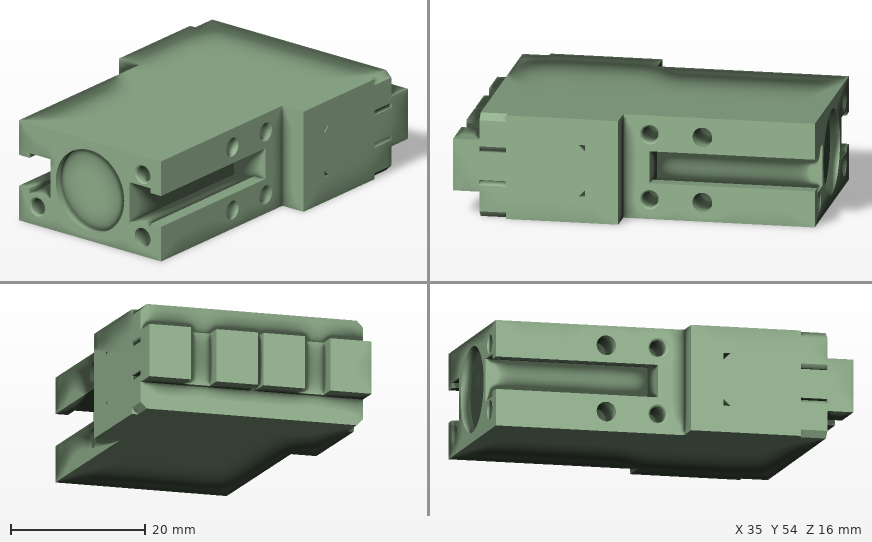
import cadquery as cq
import math

total_length = 54.0
head_width = 35.0
height = 16.0
body_width = 27.0
body_length = 29.0
head_end = 45.95
rail_end = 50.0
rail_chamfer = 0.95

channel_start = 34.0
channel_height = 8.0

slot_length = 25.0
slot_mouth_height = 4.9
slot_mouth_depth = 2.0
slot_inner_height = 6.4
slot_depth = 6.0

recess_diameter = 13.0
recess_depth = 1.5

hole_height = 5.0
end_hole_offset = 10.0
side_screw_y = 25.0
side_pin_y = 17.0
screw_diameter = 2.5
countersink_diameter = 2.95
pin_diameter = 2.95
hole_depth = 6.0
drill_tip_angle = 118
countersink_angle = 90

jaw_gap = 0.85
jaw_chamfer = 1.0
jaw_neck_height = 4.4
finger_slot_width = 4.0
finger_slot_depth = 3.1
finger_slot_offset = 8.95

rail_clearance = 0.2
rail_gap = jaw_neck_height + 2 * rail_clearance
rail_inner_chamfer = 0.6


def box_between(x_min, x_max, y_min, y_max, box_height):
    """Box with the given X and Y limits, centred on Z = 0."""
    box = cq.Workplane("XY").box(x_max - x_min, y_max - y_min, box_height)
    return box.translate(((x_min + x_max) / 2, (y_min + y_max) / 2, 0))


def drill_tool(diameter):
    """Cutter along +Z from the origin, with a conical tip."""
    drill = cq.Solid.makeCylinder(diameter / 2, hole_depth)
    tip_length = diameter / 2 / math.tan(math.radians(drill_tip_angle / 2))
    tip = cq.Solid.makeCone(diameter / 2, 0, tip_length, pnt=(0, 0, hole_depth))
    return cq.Workplane(obj=drill.fuse(tip))


def screw_tool():
    """Drill cutter with a countersink at its mouth."""
    rim_width = (countersink_diameter - screw_diameter) / 2
    sink_depth = rim_width / math.tan(math.radians(countersink_angle / 2))
    sink = cq.Solid.makeCone(countersink_diameter / 2, screw_diameter / 2, sink_depth)
    return drill_tool(screw_diameter).union(cq.Workplane(obj=sink))


def end_hole(tool, x, z):
    """Turn a cutter to enter the -Y end face."""
    return tool.rotate((0, 0, 0), (1, 0, 0), -90).translate((x, 0, z))


def side_hole(tool, side, y, z):
    """Turn a cutter to enter the body side at -X (side = -1) or +X (side = 1)."""
    return tool.rotate((0, 0, 0), (0, 1, 0), -90 * side).translate((side * body_width / 2, y, z))


def make_rail(side):
    """Guide rail above (side = 1) or below (side = -1) the jaws, with chamfered ends."""
    inner = rail_gap / 2
    outer = height / 2
    half_width = head_width / 2
    outline = [
        (-half_width + rail_inner_chamfer, inner),
        (half_width - rail_inner_chamfer, inner),
        (half_width, inner + rail_inner_chamfer),
        (half_width, outer - rail_chamfer),
        (half_width - rail_chamfer, outer),
        (-half_width + rail_chamfer, outer),
        (-half_width, outer - rail_chamfer),
        (-half_width, inner + rail_inner_chamfer),
    ]
    points = [(x, side * z) for x, z in outline]
    rail = cq.Workplane("XZ").polyline(points).close().extrude(-(rail_end - head_end))
    return rail.translate((0, head_end, 0))


def make_side_slot(side):
    """Cutter for the T-slot in one side of the body."""
    face = body_width / 2
    mouth = box_between(face - slot_depth, face, 0, slot_length, slot_mouth_height)
    inner = box_between(face - slot_depth, face - slot_mouth_depth, 0, slot_length, slot_inner_height)
    slot = mouth.union(inner)
    return slot if side > 0 else slot.mirror("YZ")


def make_housing():
    body = box_between(-body_width / 2, body_width / 2, 0, body_length, height)
    head = box_between(-head_width / 2, head_width / 2, body_length, head_end, height)
    channel = box_between(-head_width / 2, head_width / 2, channel_start, head_end, channel_height)
    housing = body.union(head).cut(channel)
    for side in (-1, 1):
        housing = housing.union(make_rail(side))

    recess = cq.Workplane("XZ").circle(recess_diameter / 2).extrude(-recess_depth)
    housing = housing.cut(recess)

    screw = screw_tool()
    pin = drill_tool(pin_diameter)
    housing = housing.cut(end_hole(screw, -end_hole_offset, -hole_height))
    housing = housing.cut(end_hole(screw, end_hole_offset, hole_height))
    housing = housing.cut(end_hole(pin, end_hole_offset, -hole_height))

    for side in (-1, 1):
        housing = housing.cut(make_side_slot(side))
        for z in (-hole_height, hole_height):
            housing = housing.cut(side_hole(screw, side, side_screw_y, z))
            housing = housing.cut(side_hole(pin, side, side_pin_y, z))
    return housing


def make_jaw(side):
    """Jaw at +X (side = 1) or -X (side = -1), necked where it passes between the rails."""
    x_min = jaw_gap / 2
    x_max = head_width / 2
    jaw = box_between(x_min, x_max, channel_start, total_length, channel_height)
    jaw = jaw.faces("<Y").edges("|X").chamfer(jaw_chamfer)

    rail_space = box_between(x_min, x_max, head_end, rail_end, channel_height)
    neck = box_between(x_min, x_max, head_end, rail_end, jaw_neck_height)
    jaw = jaw.cut(rail_space.cut(neck))

    finger_slot = box_between(
        finger_slot_offset - finger_slot_width / 2,
        finger_slot_offset + finger_slot_width / 2,
        total_length - finger_slot_depth,
        total_length,
        channel_height,
    )
    jaw = jaw.cut(finger_slot)
    return jaw if side > 0 else jaw.mirror("YZ")


housing = make_housing()
jaws = [make_jaw(side) for side in (-1, 1)]

result = cq.Compound.makeCompound([housing.val(), *[jaw.val() for jaw in jaws]])